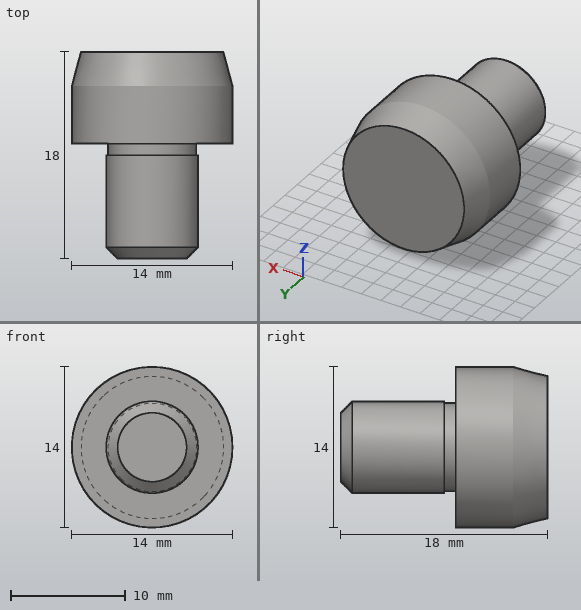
import cadquery as cq
import math

head_diameter = 14.0
head_straight_length = 5.0
head_taper_length = 3.0
head_taper_angle = 15.0

shank_diameter = 8.0
shank_length = 10.0
shank_chamfer = 1.0

undercut_diameter = 7.7
undercut_width = 1.0

head_radius = head_diameter / 2
shank_radius = shank_diameter / 2
undercut_radius = undercut_diameter / 2

head_length = head_straight_length + head_taper_length
taper_inset = head_taper_length * math.tan(math.radians(head_taper_angle))
head_end_radius = head_radius - taper_inset


def pin_half_profile():
    """Half section as (radius, Y), from the shank tip to the head end."""
    return (
        cq.Workplane("XY")
        .moveTo(0, -shank_length)
        .lineTo(shank_radius - shank_chamfer, -shank_length)
        .lineTo(shank_radius, -shank_length + shank_chamfer)
        .lineTo(shank_radius, -undercut_width)
        .lineTo(undercut_radius, -undercut_width)
        .lineTo(undercut_radius, 0)
        .lineTo(head_radius, 0)
        .lineTo(head_radius, head_straight_length)
        .lineTo(head_end_radius, head_length)
        .lineTo(0, head_length)
        .close()
    )


result = pin_half_profile().revolve(360, (0, 0, 0), (0, 1, 0))